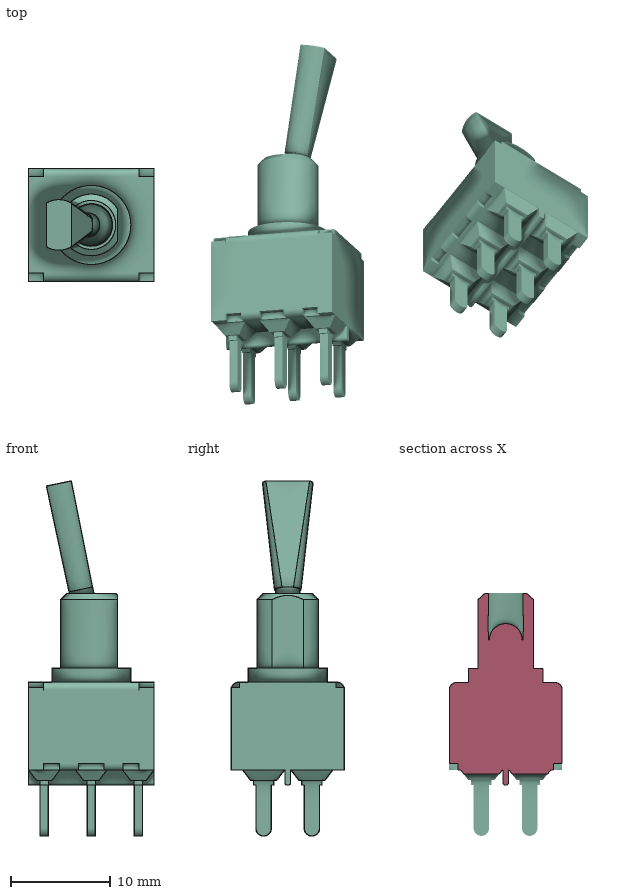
import cadquery as cq
import math


BODY_X = 12.7
BODY_Y = 11.43
BODY_Z = 8.89
FRAME_X = 9.64
FRAME_BEND = 0.8
NOTCH_Y = 0.85
NOTCH_Z = 0.56
RECESS_Y = 0.85
RECESS_Z = 0.66
TAB_X = 1.95
TAB_OFFSET_X = 2.24
TAB_BEND = 0.58

COLLAR_DIA = 7.98
COLLAR_Z = 1.4
BUSHING_DIA = 6.22
BUSHING_Z = 7.55
BUSHING_CHAMFER = 0.64
BUSHING_FLAT_X = 2.67
BORE_DIA = 4.3
BUSHING_TOP = BODY_Z + COLLAR_Z + BUSHING_Z

BALL_DIA = 4.2
TILT = 11.7
PIVOT_DEPTH = 4.7
PIVOT_Z = BUSHING_TOP - PIVOT_DEPTH
STEM_DIA = 2.45
PADDLE_START = 5.2
PADDLE_BASE_DIA = 2.7
PADDLE_BASE_THICKNESS = 2.44
PADDLE_TIP_THICKNESS = 2.58
PADDLE_TIP_WIDTH = 5.1
PADDLE_TIP_FLAT = 4.42

OVERALL_Z = 35.83
PIN_BOTTOM = -6.64
PIN_PITCH_X = 4.75
PIN_PITCH_Y = 4.87
PIN_X = 0.84
PIN_Y = 1.57
SHOULDER_Y = 2.08
SHOULDER_BOTTOM = -1.5
MOUND_X = 3.14
MOUND_Y = 4.2
MOUND_Z = 1.03
MOUND_TAPER = 0.79
DIVIDER_Y = 0.59
DIVIDER_ROUND = 0.24

TILT_RAD = math.radians(TILT)
LEVER_TOP = OVERALL_Z + PIN_BOTTOM
TIP_RISE = PADDLE_TIP_THICKNESS / 2 * math.sin(TILT_RAD)
PADDLE_END = (LEVER_TOP - PIVOT_Z - TIP_RISE) / math.cos(TILT_RAD)


def box(size_x, size_y, z_low, z_high, x=0, y=0):
    """Upright box centred on (x, y) between two heights."""
    height = z_high - z_low
    return cq.Workplane("XY").box(size_x, size_y, height).translate((x, y, (z_low + z_high) / 2))


def make_body():
    body = box(BODY_X, BODY_Y, 0, BODY_Z)
    corner_x = (BODY_X - FRAME_X) / 2
    for side in (-1, 1):
        notch_y = side * (BODY_Y - NOTCH_Y) / 2
        for end in (-1, 1):
            notch_x = end * (BODY_X - corner_x) / 2
            body = body.cut(box(corner_x, NOTCH_Y, BODY_Z - NOTCH_Z, BODY_Z, notch_x, notch_y))
        recess_y = side * (BODY_Y - RECESS_Y) / 2
        body = body.cut(box(FRAME_X, RECESS_Y, 0, RECESS_Z, 0, recess_y))
        body = body.cut(make_bend_waste(side))
        for end in (-1, 1):
            body = body.union(make_tab(side, end, recess_y))
    return body


def make_bend_waste(side):
    """Material outside the rounded top edge of the frame on one long side."""
    wall = side * BODY_Y / 2
    corner = box(FRAME_X, FRAME_BEND, BODY_Z - FRAME_BEND, BODY_Z, 0, wall - side * FRAME_BEND / 2)
    bend = (
        cq.Workplane("YZ")
        .workplane(offset=-FRAME_X / 2)
        .center(wall - side * FRAME_BEND, BODY_Z - FRAME_BEND)
        .circle(FRAME_BEND)
        .extrude(FRAME_X)
    )
    return corner.cut(bend)


def make_tab(side, end, y):
    """Frame tab in the bottom recess, rounded along its outer bottom edge."""
    tab = box(TAB_X, RECESS_Y, 0, RECESS_Z, end * TAB_OFFSET_X, y)
    outer_face = ">Y" if side > 0 else "<Y"
    return tab.faces(outer_face).edges("<Z").fillet(TAB_BEND)


def make_bushing():
    bushing = cq.Workplane("XY").workplane(offset=BODY_Z).circle(COLLAR_DIA / 2).extrude(COLLAR_Z)
    barrel = (
        cq.Workplane("XY")
        .workplane(offset=BODY_Z + COLLAR_Z)
        .circle(BUSHING_DIA / 2)
        .extrude(BUSHING_Z)
        .faces(">Z")
        .chamfer(BUSHING_CHAMFER)
    )
    waste_x = BUSHING_FLAT_X + BUSHING_DIA / 2
    flat_waste = box(BUSHING_DIA, BUSHING_DIA, BODY_Z + COLLAR_Z, BUSHING_TOP, waste_x)
    bore = cq.Workplane("XY").workplane(offset=PIVOT_Z).circle(BORE_DIA / 2).extrude(BUSHING_TOP - PIVOT_Z)
    return bushing.union(barrel.cut(flat_waste)).cut(bore)


def draw_paddle_section(plane, thickness, flat, width):
    """Section with two flat faces across X and two bulging arcs across Y."""
    x = thickness / 2
    y = flat / 2
    return (
        plane.moveTo(x, -y)
        .lineTo(x, y)
        .threePointArc((0, width / 2), (-x, y))
        .lineTo(-x, -y)
        .threePointArc((0, -width / 2), (x, -y))
        .close()
    )


def make_lever():
    """Ball, stem and paddle, built upright at the pivot and then tilted."""
    ball = cq.Workplane("XY").sphere(BALL_DIA / 2)
    stem = cq.Workplane("XY").circle(STEM_DIA / 2).extrude(PADDLE_START)
    base_flat = math.sqrt(PADDLE_BASE_DIA**2 - PADDLE_BASE_THICKNESS**2)
    base_plane = cq.Workplane("XY").workplane(offset=PADDLE_START)
    base = draw_paddle_section(base_plane, PADDLE_BASE_THICKNESS, base_flat, PADDLE_BASE_DIA)
    tip_plane = base.workplane(offset=PADDLE_END - PADDLE_START)
    tip = draw_paddle_section(tip_plane, PADDLE_TIP_THICKNESS, PADDLE_TIP_FLAT, PADDLE_TIP_WIDTH)
    paddle = tip.loft(ruled=True)
    lever = ball.union(stem).union(paddle)
    return lever.rotate((0, 0, 0), (0, 1, 0), -TILT).translate((0, 0, PIVOT_Z))


def make_terminal(x, y):
    """Sealing mound, shoulder and round-ended pin of one terminal."""
    mound = (
        cq.Workplane("XY")
        .rect(MOUND_X, MOUND_Y)
        .workplane(offset=-MOUND_Z)
        .rect(MOUND_X - 2 * MOUND_TAPER, MOUND_Y - 2 * MOUND_TAPER)
        .loft(ruled=True)
    )
    shoulder = box(PIN_X, SHOULDER_Y, SHOULDER_BOTTOM, 0)
    round_centre_z = PIN_BOTTOM + PIN_Y / 2
    shank = box(PIN_X, PIN_Y, round_centre_z, 0)
    round_end = (
        cq.Workplane("YZ")
        .workplane(offset=-PIN_X / 2)
        .center(0, round_centre_z)
        .circle(PIN_Y / 2)
        .extrude(PIN_X)
    )
    return mound.union(shoulder).union(shank).union(round_end).translate((x, y, 0))


def make_divider():
    """Thin wall between the two terminal rows."""
    divider = box(BODY_X, DIVIDER_Y, SHOULDER_BOTTOM, 0)
    return divider.faces("<Z").edges("|X").fillet(DIVIDER_ROUND)


result = make_body().union(make_bushing()).union(make_lever()).union(make_divider())
for column in (-1, 0, 1):
    for row in (-1, 1):
        result = result.union(make_terminal(column * PIN_PITCH_X, row * PIN_PITCH_Y / 2))